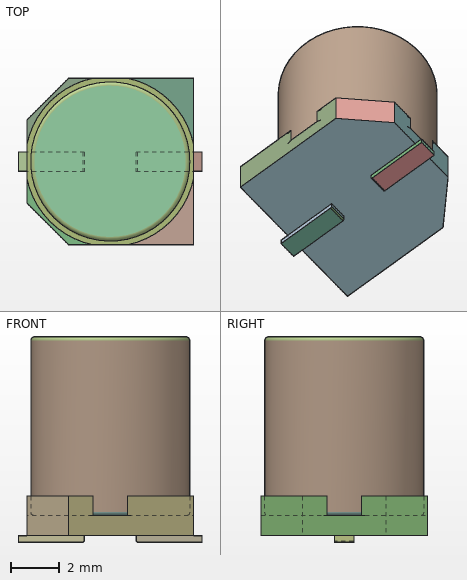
import cadquery as cq

total_height = 8.4
lead_span = 7.5

base_width = 6.8
base_height = 1.62
corner_cut = base_width / 4
recess_diameter = 6.95
recess_depth = 0.8

can_diameter = 6.5
can_top_round = 0.16
can_bottom_round = 0.13

lead_length = 2.7
lead_width = 0.8
lead_thickness = 0.28
lead_tip_chamfer = 0.06

base_top = lead_thickness + base_height
recess_floor = base_top - recess_depth


def make_base():
    """Square base with two cut corners on the -X side.

    The recess is wider than the base, so it opens a window in each side.
    """
    block = (
        cq.Workplane("XY", origin=(0, 0, lead_thickness))
        .rect(base_width, base_width)
        .extrude(base_height)
        .edges("|Z and <X")
        .chamfer(corner_cut)
    )
    recess = (
        cq.Workplane("XY", origin=(0, 0, recess_floor))
        .circle(recess_diameter / 2)
        .extrude(recess_depth)
    )
    return block.cut(recess)


def make_can():
    """Solid cylinder with rounded rims, standing on the recess floor."""
    return (
        cq.Workplane("XY", origin=(0, 0, recess_floor))
        .circle(can_diameter / 2)
        .extrude(total_height - recess_floor)
        .faces(">Z").edges().fillet(can_top_round)
        .faces("<Z").edges().fillet(can_bottom_round)
    )


def make_lead(angle):
    """Flat lead under the base, turned about Z; its inner lower edge is chamfered."""
    lead_center = (lead_span - lead_length) / 2
    return (
        cq.Workplane("XY", origin=(lead_center, 0, 0))
        .rect(lead_length, lead_width)
        .extrude(lead_thickness)
        .faces("<X").edges("<Z").chamfer(lead_tip_chamfer)
        .rotate((0, 0, 0), (0, 0, 1), angle)
    )


base = make_base()
can = make_can()
leads = [make_lead(angle) for angle in (0, 180)]

result = cq.Compound.makeCompound([base.val(), can.val(), *[lead.val() for lead in leads]])